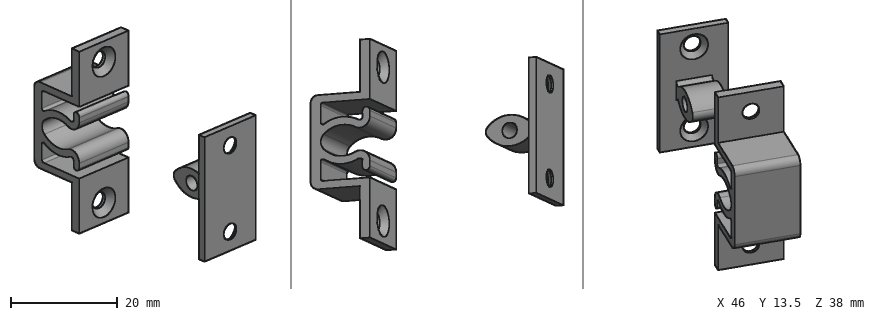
import cadquery as cq
import math

overall_length = 45.95

hole_diameter = 3.3
countersink_angle = 90

housing_depth = 12.1
housing_width = 13.0
housing_height = 38.0
box_height = 18.0
back_wall = 2.05
side_wall = 1.5
flange_thickness = 2.0
box_outer_radius = 1.5
box_inner_radius = 0.5
flange_hole_height = 14.7
flange_countersink_diameter = 6.0

arm_thickness = 1.5
arm_belly_x = 6.57
arm_belly_height = 3.0
arm_belly_radius = 5.5
clip_nose_radius = 1.98
arm_root_radius = 0.45
arm_bend_radius = 2.05
arm_tip_height = 6.05

plate_thickness = 1.5
plate_width = 13.5
plate_height = 26.0
plate_hole_height = 9.0
plate_countersink_diameter = 5.5
lug_width = 7.1
lug_belly_offset = 5.2
lug_half_height = 3.0
lug_belly_radius = 5.98
lug_nose_radius = 1.4
lug_neck_radius = 1.0
lug_neck_offset = 0.9
lug_hole_diameter = 3.0


def leg(hypotenuse, other_leg):
    """Missing side of a right triangle."""
    return math.sqrt(hypotenuse**2 - other_leg**2)


def toward(start, end, distance):
    """Point at a distance from start on the line to end."""
    ratio = distance / math.dist(start, end)
    return (start[0] + ratio * (end[0] - start[0]), start[1] + ratio * (end[1] - start[1]))


def on_circle(center, radius, direction_x, direction_z):
    """Point of a circle in a given direction from its center."""
    return toward(center, (center[0] + direction_x, center[1] + direction_z), radius)


def mirrored(point):
    """Point reflected in the plane Z = 0."""
    return (point[0], -point[1])


def extrude_y(profile, width):
    """Extrude an XZ profile symmetrically about Y = 0."""
    return profile.extrude(width / 2, both=True)


def xz_box(x_min, x_max, height, width):
    """Box centered on Y = 0 and Z = 0."""
    return cq.Workplane("XY").box(x_max - x_min, width, height).translate(((x_min + x_max) / 2, 0, 0))


def drill_countersunk(body, face, face_x, height, countersink_diameter):
    """Drill two countersunk holes, at equal heights above and below Z = 0, from a face of the body."""
    return (
        body.faces(face)
        .workplane(origin=(face_x, 0, 0))
        .pushPoints([(0, height), (0, -height)])
        .cskHole(hole_diameter, countersink_diameter, countersink_angle)
    )


def make_bracket():
    """Folded bracket: a box open toward +X, with a flange above and below, countersunk from the open side."""
    flange_x = housing_depth - flange_thickness
    cavity_height = box_height - 2 * side_wall
    box = xz_box(0, housing_depth, box_height, housing_width)
    box = box.edges("|Y and <X").fillet(box_outer_radius)
    flanges = xz_box(flange_x, housing_depth, housing_height, housing_width)
    cavity = xz_box(back_wall, housing_depth, cavity_height, housing_width)
    cavity = cavity.edges("|Y and <X").fillet(box_inner_radius)
    bracket = box.union(flanges).cut(cavity)
    return drill_countersunk(bracket, ">X", housing_depth, flange_hole_height, flange_countersink_diameter)


def make_clip_arm():
    """Upper spring arm: belly, reverse bend and rounded tip, with half of the clip nose."""
    outer_belly_radius = arm_belly_radius + arm_thickness
    inner_bend_radius = arm_bend_radius - arm_thickness
    tip_radius = arm_thickness / 2
    root_x = back_wall / 2

    belly = (arm_belly_x, arm_belly_height - arm_belly_radius)
    bend_x = housing_depth - arm_bend_radius
    bend_z = belly[1] + leg(arm_belly_radius + arm_bend_radius, bend_x - belly[0])
    bend = (bend_x, bend_z)
    nose = (belly[0] - leg(arm_belly_radius - clip_nose_radius, belly[1]), 0)
    root_center_x = back_wall + arm_root_radius
    root_z = belly[1] + leg(outer_belly_radius + arm_root_radius, belly[0] - root_center_x)
    root = (root_center_x, root_z)

    nose_end = toward(belly, nose, arm_belly_radius)
    chord = (nose_end[0] - nose[0] + clip_nose_radius, nose_end[1])
    nose_middle = on_circle(nose, clip_nose_radius, -chord[1], chord[0])
    tip_z = arm_tip_height - tip_radius
    profile = (
        cq.Workplane("XZ")
        .moveTo(root_x, 0)
        .lineTo(nose[0] - clip_nose_radius, 0)
        .threePointArc(nose_middle, nose_end)
        .threePointArc((belly[0], arm_belly_height), toward(belly, bend, arm_belly_radius))
        .threePointArc((bend[0], bend[1] - arm_bend_radius), (housing_depth, bend[1]))
        .lineTo(housing_depth, tip_z)
        .threePointArc(
            (housing_depth - tip_radius, arm_tip_height), (housing_depth - arm_thickness, tip_z)
        )
        .lineTo(housing_depth - arm_thickness, bend[1])
        .threePointArc(
            (bend[0], bend[1] - inner_bend_radius), toward(belly, bend, outer_belly_radius)
        )
        .threePointArc(
            (belly[0], arm_belly_height + arm_thickness), toward(belly, root, outer_belly_radius)
        )
        .threePointArc(on_circle(root, arm_root_radius, -0.45, -0.45), (back_wall, root[1]))
        .lineTo(root_x, root[1])
        .close()
    )
    return extrude_y(profile, housing_width)


def make_housing():
    """Bracket and its two mirrored spring arms in one piece."""
    upper_arm = make_clip_arm()
    lower_arm = upper_arm.mirror("XY")
    return make_bracket().union(upper_arm).union(lower_arm)


def make_plate(plate_x):
    """Striker plate with two holes countersunk from the lug side."""
    plate = xz_box(plate_x, overall_length, plate_height, plate_width)
    return drill_countersunk(plate, "<X", plate_x, plate_hole_height, plate_countersink_diameter)


def make_lug(plate_x):
    """Almond-shaped lug with a necked root and a cross hole."""
    belly = (plate_x - lug_belly_offset, lug_half_height - lug_belly_radius)
    nose = (belly[0] - leg(lug_belly_radius - lug_nose_radius, belly[1]), 0)
    neck_x = plate_x - lug_neck_offset
    neck_z = belly[1] + leg(lug_belly_radius + lug_neck_radius, neck_x - belly[0])
    neck = (neck_x, neck_z)

    belly_top = (belly[0], lug_half_height)
    nose_end = toward(belly, nose, lug_belly_radius)
    neck_start = toward(belly, neck, lug_belly_radius)
    neck_bottom = (neck_x, neck_z - lug_neck_radius)
    neck_end = (plate_x, neck_z - leg(lug_neck_radius, lug_neck_offset))
    root_x = plate_x + plate_thickness / 2
    profile = (
        cq.Workplane("XZ")
        .moveTo(*mirrored(nose_end))
        .threePointArc((nose[0] - lug_nose_radius, 0), nose_end)
        .threePointArc(belly_top, neck_start)
        .threePointArc(neck_bottom, neck_end)
        .lineTo(root_x, neck_end[1])
        .lineTo(root_x, -neck_end[1])
        .lineTo(*mirrored(neck_end))
        .threePointArc(mirrored(neck_bottom), mirrored(neck_start))
        .threePointArc(mirrored(belly_top), mirrored(nose_end))
        .close()
    )
    hole = cq.Workplane("XZ").center(belly[0], 0).circle(lug_hole_diameter / 2)
    return extrude_y(profile, lug_width).cut(extrude_y(hole, lug_width))


def make_striker():
    """Plate and lug in one piece."""
    plate_x = overall_length - plate_thickness
    return make_plate(plate_x).union(make_lug(plate_x))


housing = make_housing()
striker = make_striker()

result = cq.Compound.makeCompound([housing.val(), striker.val()])